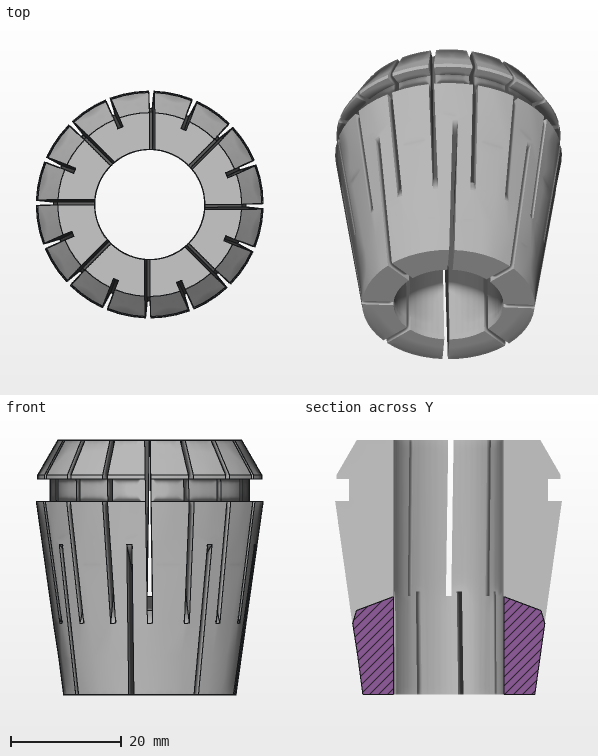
import cadquery as cq
import math

height = 46.0
shoulder_dia = 41.0
shoulder_z = 34.95
body_taper = 8.0
neck_dia = 35.95
lip_dia = 40.5
lip_z = 38.95
lip_height = 0.75
head_taper = 30.0
bore_dia = 19.85

slot_width = 0.95
slot_pairs = 8
slot_tilt = 0.85
overshoot = 4.6

groove_radius = 14.85
groove_curve_z = 29.0
groove_end_z = 12.93
upper_floor_outer_z = 15.25
upper_floor_inner_z = 17.8
upper_pivot_z = 16.55

lower_end_z = 27.15
lower_end_slope = 42.0
lower_pivot_z = 20.25

shoulder_radius = shoulder_dia / 2
neck_radius = neck_dia / 2
lip_radius = lip_dia / 2
bore_radius = bore_dia / 2
slot_spacing = 360.0 / slot_pairs


def taper_radius(z):
    """Outer radius of the lower taper at height z."""
    return shoulder_radius - (shoulder_z - z) * math.tan(math.radians(body_taper))


def groove_floor_radius(z):
    """Radius of the groove floor at height z, within its curved run-out."""
    drop = groove_curve_z - groove_end_z
    rise = taper_radius(groove_end_z) - groove_radius
    curve_radius = (drop**2 + rise**2) / (2 * rise)
    return groove_radius + curve_radius - math.sqrt(curve_radius**2 - (groove_curve_z - z) ** 2)


def make_body():
    """Revolved collet body with its bore."""
    head_z = lip_z + lip_height
    head_radius = lip_radius - (height - head_z) * math.tan(math.radians(head_taper))
    section = [
        (bore_radius, 0),
        (taper_radius(0), 0),
        (shoulder_radius, shoulder_z),
        (neck_radius, shoulder_z),
        (neck_radius, lip_z),
        (lip_radius, lip_z),
        (lip_radius, head_z),
        (head_radius, height),
        (bore_radius, height),
    ]
    return cq.Workplane("XZ").polyline(section).close().revolve(360, (0, 0, 0), (0, 1, 0))


def make_slot(outline, pivot_z, tilt):
    """Flat slot tool in the +X direction, leaning about its radial axis."""
    tool = outline.close().extrude(slot_width / 2, both=True)
    return tool.rotate((0, 0, pivot_z), (1, 0, pivot_z), tilt)


def cut_around(body, tool, start_angle):
    """Cut the tool at equal spacing around the Z axis."""
    for index in range(slot_pairs):
        angle = start_angle + index * slot_spacing
        body = body.cut(tool.rotate((0, 0, 0), (0, 0, 1), angle))
    return body


outside = shoulder_radius + overshoot
above = height + overshoot
inside = bore_radius / 2

run_out = (taper_radius(groove_end_z), groove_end_z)
curve_middle_z = (groove_curve_z + groove_end_z) / 2
groove_outline = (
    cq.Workplane("XZ")
    .moveTo(outside, above)
    .lineTo(groove_radius, above)
    .lineTo(groove_radius, groove_curve_z)
    .threePointArc((groove_floor_radius(curve_middle_z), curve_middle_z), run_out)
    .lineTo(outside, groove_end_z)
)

floor_radius = groove_floor_radius(upper_floor_outer_z)
floor_slope = (upper_floor_inner_z - upper_floor_outer_z) / (floor_radius - bore_radius)
curve_middle_z = (upper_floor_outer_z + groove_end_z) / 2
upper_outline = (
    cq.Workplane("XZ")
    .moveTo(outside, above)
    .lineTo(inside, above)
    .lineTo(inside, upper_floor_inner_z + (bore_radius - inside) * floor_slope)
    .lineTo(floor_radius, upper_floor_outer_z)
    .threePointArc((groove_floor_radius(curve_middle_z), curve_middle_z), run_out)
    .lineTo(outside, groove_end_z)
)

end_drop = (taper_radius(lower_end_z) - inside) * math.tan(math.radians(lower_end_slope))
lower_outline = (
    cq.Workplane("XZ")
    .moveTo(outside, -overshoot)
    .lineTo(inside, -overshoot)
    .lineTo(inside, lower_end_z - end_drop)
    .lineTo(taper_radius(lower_end_z), lower_end_z)
    .lineTo(outside, lower_end_z)
)

upper_slot = make_slot(upper_outline, upper_pivot_z, slot_tilt)
groove = make_slot(groove_outline, upper_pivot_z, slot_tilt)
lower_slot = make_slot(lower_outline, lower_pivot_z, -slot_tilt)

result = make_body()
result = cut_around(result, upper_slot, 0)
result = cut_around(result, groove, slot_spacing / 2)
result = cut_around(result, lower_slot, -slot_spacing / 4)